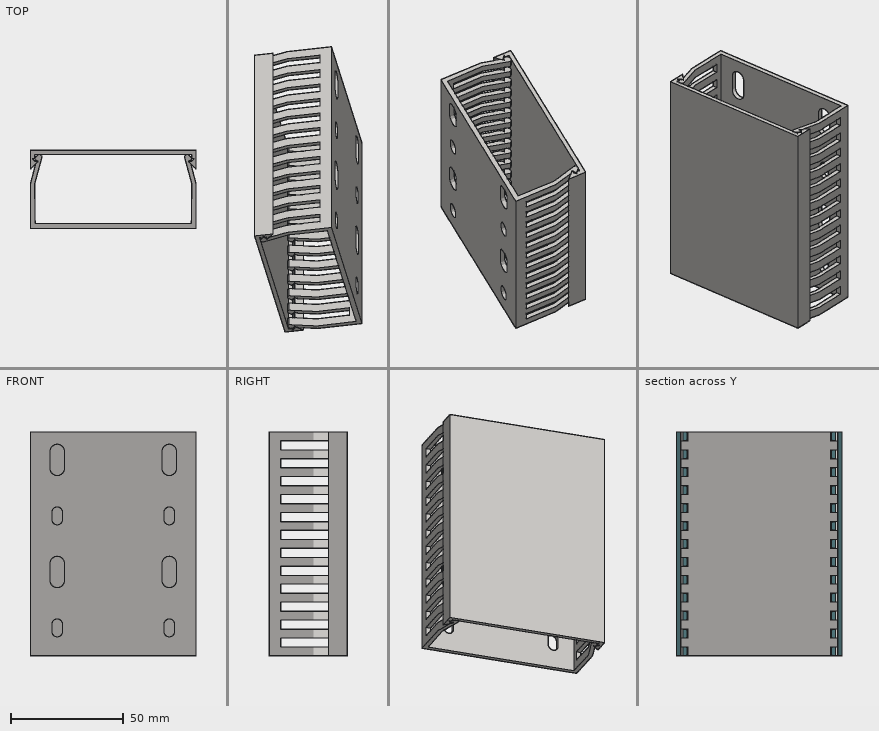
import cadquery as cq

width = 74.0
depth = 35.0
length = 100.0
half_width = width / 2

floor_thickness = 2.3
wall_root_thickness = 2.2
wall_bend_thickness = 2.0
bend_y = 20.0
wall_lean = 0.26

cover_thickness = 2.0
cover_wall_thickness = 2.0
cover_inner_y = depth - cover_thickness
lip_reach = 3.5
lip_tip_y = 30.0
lip_end_y = lip_tip_y - lip_reach
groove_floor_inset = 1.0
groove_y = 31.2

barb_bottom_y = 30.7
barb_top_y = 31.6
tip_bevel_end_inset = 5.3
tip_bevel = 0.8

finger_count = 13
finger_width = 4.0
slit_width = 4.0
slit_start_y = 5.3
slit_pitch = finger_width + slit_width

slot_column_x = 25.0
slot_pitch = 25.0
first_slot_drop = 12.5
slot_count = 4
large_slot_length = 14.0
large_slot_width = 6.5
small_slot_length = 8.0
small_slot_width = 4.7


def extrude_symmetric(inset_points):
    """Extrude a closed profile given by its left half as (inset from the side, y) points."""
    left = [(inset - half_width, y) for inset, y in inset_points]
    right = [(-x, y) for x, y in reversed(left)]
    return cq.Workplane("XY").polyline(left + right).close().extrude(length)


def make_cover():
    """Flat cover whose side walls end in a snap lip that hooks into the wall notches."""
    groove_end_inset = groove_floor_inset + groove_y - lip_tip_y
    return extrude_symmetric([
        (0, depth),
        (0, lip_end_y),
        (lip_reach, lip_tip_y),
        (groove_end_inset, lip_tip_y),
        (groove_floor_inset, groove_y),
        (cover_wall_thickness, groove_y),
        (cover_wall_thickness, cover_inner_y),
    ])


def duct_profile():
    """Left half of the duct section, from the floor up the outside and down the inside."""
    notch_edge_inset = wall_lean * (lip_end_y - bend_y) / (1 - wall_lean)
    barb_inset = cover_wall_thickness
    barb_end_inset = barb_inset + cover_inner_y - barb_top_y
    return [
        (0, 0),
        (0, bend_y),
        (notch_edge_inset, lip_end_y + notch_edge_inset),
        (lip_reach, lip_tip_y),
        (barb_inset, barb_bottom_y),
        (barb_inset, barb_top_y),
        (barb_end_inset, cover_inner_y),
        (tip_bevel_end_inset - tip_bevel, cover_inner_y),
        (tip_bevel_end_inset, cover_inner_y - tip_bevel),
        (wall_bend_thickness, bend_y),
        (wall_root_thickness, floor_thickness),
    ]


def wall_slits():
    """Cutters that split both side walls into fingers."""
    slit_depth = depth - slit_start_y
    slit_centers = [(0, finger_width + slit_width / 2 + i * slit_pitch) for i in range(finger_count - 1)]
    return (
        cq.Workplane("XZ", origin=(0, slit_start_y, 0))
        .pushPoints(slit_centers)
        .rect(width, slit_width)
        .extrude(-slit_depth)
    )


def mounting_slots():
    """Cutters for the round-ended slots through the floor."""
    cutters = cq.Workplane("XZ")
    for i in range(slot_count):
        z = length - first_slot_drop - i * slot_pitch
        is_large = i % 2 == 0
        slot_length = large_slot_length if is_large else small_slot_length
        slot_width = large_slot_width if is_large else small_slot_width
        slot_pair = (
            cq.Workplane("XZ")
            .pushPoints([(-slot_column_x, z), (slot_column_x, z)])
            .slot2D(slot_length, slot_width, 90)
            .extrude(-floor_thickness)
        )
        cutters = cutters.add(slot_pair)
    return cutters.combine()


def make_duct():
    """Channel with slotted floor and fingered side walls."""
    return extrude_symmetric(duct_profile()).cut(wall_slits()).cut(mounting_slots())


duct = make_duct()
cover = make_cover()

result = cq.Compound.makeCompound([duct.solids().val(), cover.solids().val()])